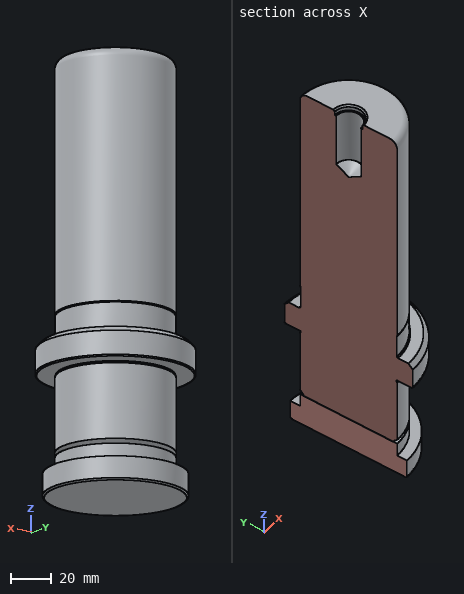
import cadquery as cq

TOTAL_HEIGHT = 222.0

CAP_RADIUS = 36.0
CAP_DISC_HEIGHT = 12.0
CAP_HEIGHT = 20.0
CAP_EDGE_CHAMFER = 0.9

POST_RADIUS = 30.0
POST_BOTTOM_CHAMFER = 2.5
POST_TOP_FILLET = 4.9

FLANGE_RADIUS = 39.5
FLANGE_BOTTOM = 62.0
FLANGE_TOP = 77.5
FLANGE_TOP_CHAMFER = 2.7
FLANGE_BOTTOM_CHAMFER = 0.7

BAND_RADIUS = 29.7
BAND_TOP = 92.4
BAND_TAPER_HEIGHT = 0.7
FOOT_SIZE = 0.7
UNDERCUT_DEPTH = 0.5
UNDERCUT_HEIGHT = 1.0

MOUTH_RADIUS = 9.3
COUNTERBORE_RADIUS = 8.5
COUNTERBORE_DEPTH = 3.0
BORE_RADIUS = 7.5
BORE_DEPTH = 35.5
DRILL_TIP_HEIGHT = 4.5


def revolve_profile(points):
    """Turn a closed (radius, height) outline about the Z axis."""
    return cq.Workplane("XZ").polyline(points).close().revolve(360, (0, 0, 0), (0, 1, 0))


def make_cap():
    return revolve_profile([
        (0, 0),
        (CAP_RADIUS - CAP_EDGE_CHAMFER, 0),
        (CAP_RADIUS, CAP_EDGE_CHAMFER),
        (CAP_RADIUS, CAP_DISC_HEIGHT),
        (POST_RADIUS, CAP_DISC_HEIGHT),
        (POST_RADIUS, CAP_HEIGHT),
        (0, CAP_HEIGHT),
    ])


def make_post_blank():
    undercut_radius = POST_RADIUS - UNDERCUT_DEPTH
    undercut_bottom = FLANGE_BOTTOM - UNDERCUT_HEIGHT
    blank = revolve_profile([
        (0, CAP_HEIGHT),
        (POST_RADIUS - POST_BOTTOM_CHAMFER, CAP_HEIGHT),
        (POST_RADIUS, CAP_HEIGHT + POST_BOTTOM_CHAMFER),
        (POST_RADIUS, undercut_bottom),
        (undercut_radius, undercut_bottom + UNDERCUT_DEPTH),
        (undercut_radius, FLANGE_BOTTOM),
        (FLANGE_RADIUS - FLANGE_BOTTOM_CHAMFER, FLANGE_BOTTOM),
        (FLANGE_RADIUS, FLANGE_BOTTOM + FLANGE_BOTTOM_CHAMFER),
        (FLANGE_RADIUS, FLANGE_TOP - FLANGE_TOP_CHAMFER),
        (FLANGE_RADIUS - FLANGE_TOP_CHAMFER, FLANGE_TOP),
        (BAND_RADIUS + FOOT_SIZE, FLANGE_TOP),
        (BAND_RADIUS, FLANGE_TOP + FOOT_SIZE),
        (BAND_RADIUS, BAND_TOP - BAND_TAPER_HEIGHT),
        (POST_RADIUS, BAND_TOP),
        (POST_RADIUS, TOTAL_HEIGHT),
        (0, TOTAL_HEIGHT),
    ])
    return blank.faces(">Z").edges().fillet(POST_TOP_FILLET)


def make_top_hole():
    """Chamfered counterbore, bore and conical drill tip, as a solid to cut away."""
    mouth_chamfer = MOUTH_RADIUS - COUNTERBORE_RADIUS
    counterbore_floor = TOTAL_HEIGHT - COUNTERBORE_DEPTH
    bore_bottom = TOTAL_HEIGHT - BORE_DEPTH
    return revolve_profile([
        (0, TOTAL_HEIGHT),
        (MOUTH_RADIUS, TOTAL_HEIGHT),
        (COUNTERBORE_RADIUS, TOTAL_HEIGHT - mouth_chamfer),
        (COUNTERBORE_RADIUS, counterbore_floor),
        (BORE_RADIUS, counterbore_floor),
        (BORE_RADIUS, bore_bottom),
        (0, bore_bottom - DRILL_TIP_HEIGHT),
    ])


cap = make_cap()
post = make_post_blank().cut(make_top_hole())

result = cq.Compound.makeCompound([cap.val(), post.val()])